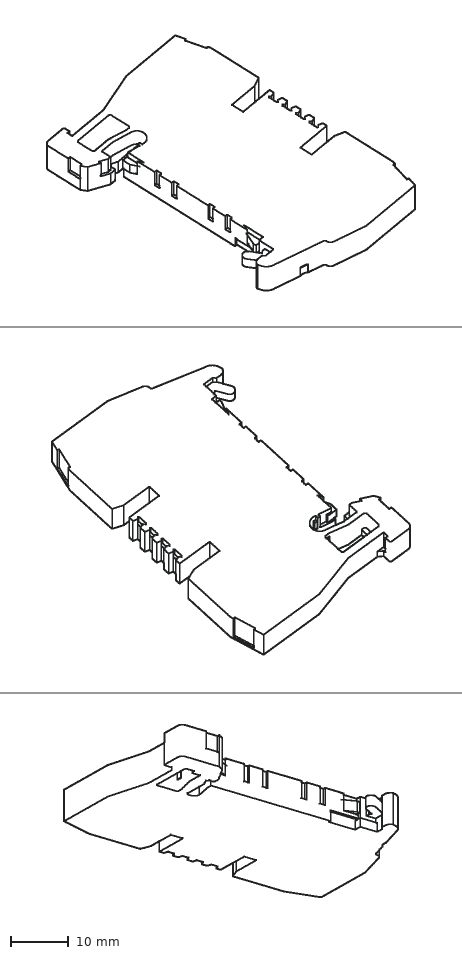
import cadquery as cq
import math

WIDTH = 55.0
HEIGHT = 36.31
THICKNESS = 6.0
CENTER_X = WIDTH / 2
SLOPE = math.tan(math.radians(15))

STEP_Z = 2.72
WEDGE_TOP_Z = 4.76

SHOULDER_X = 6.63
SHOULDER_Y = HEIGHT - SHOULDER_X * SLOPE
FLANK_Y = 21.6
FLANK_BLEND_R = 2.0
SLOT_LEAD_X = 17.6
SLOT_LEAD_Y = 34.3
SLOT_OUTER_X = 18.36
SLOT_INNER_X = 20.94
SLOT_BOTTOM_Y = 28.35

RACK_Y = 35.32
GROOVE_COUNT = 4
GROOVE_PITCH = 3.09
GROOVE_FLOOR_Y = 34.45
GROOVE_MOUTH_HALF = 0.95
GROOVE_FLOOR_HALF = 0.68
UNDERCUT_DEPTH = 0.52
UNDERCUT_HALF = 1.05
UNDERCUT_MID_Y = GROOVE_FLOOR_Y - 0.33
UNDERCUT_FLOOR_HALF = 0.92
UNDERCUT_Z = 4.5

LABEL_START_X = 1.95
LABEL_END_X = 6.02
LABEL_DEPTH = 0.36
LABEL_FLOOR_Z = 0.5

BASE_Y = 7.35
NOTCH_TOP_Y = 7.86
NOTCH_WIDTH = 1.1
NOTCH_OFFSETS = (-8.1, -4.15, 4.15, 8.1)

ARM_X = 2.37
ARM_TOP_Y = FLANK_Y - ARM_X / SLOPE
FOOT_TOP_Y = 5.1
FOOT_CORNER_R = 0.95
FOOT_TOP_R = 0.3
FOOT_RIGHT_X = 11.26
FOOT_RIGHT_Y = 4.46
FOOT_TOE_X = 9.3
FOOT_TOE_Y = 0.65
FOOT_TOE_END_X = 8.15
FOOT_BUMP_Y = 5.75
FOOT_NOTCH_X = (5.42, FOOT_TOE_END_X)
FOOT_NOTCH_DEPTH = 0.5
WINDOW_X = (3.9, 8.52)
WINDOW_Y = (4.07, 12.75)
WINDOW_LOWER_X = 7.65
WINDOW_BEND_Y = 8.07
WINDOW_SHOULDER_Y = 11.7
WINDOW_R = 0.4
WINDOW_TOP_R = 0.25
WALL_PAD_DEPTH = 0.13
WALL_PAD_Z = (2.2, 5.0)
CORNER_GROOVE_X = 1.3
CORNER_GROOVE_Y = 4.55
GUSSET_Z = 1.6
GUSSET_X = 1.75
GUSSET_TOP_Y = 6.0
WINDOW_PAD_X = 5.74
WINDOW_PAD_Y = 4.96

SLOT_X = 10.37
SLOT_ARC_Y = 12.55
SLOT_ARC_PEAK = (11.3, 12.8)
SLOT_ARC_END = (12.42, 11.7)
SLOT_WALL_X = 11.72
SLOT_WALL_Y = 8.2
HOOK_TIP_Y = 7.5
HOOK_THROAT = (9.84, 6.3)
HOOK_BUMP_X = 10.2
UPPER_SLOT_X = 8.68
UPPER_BEND_Y = 8.07
UPPER_ARC_START = (9.55, 12.1)
UPPER_ARC_PEAK = (11.2, 13.24)
UPPER_ARC_END = (12.92, 11.5)
UPPER_CORNER_X = 12.25
RIM_WIDTH = 0.55
RIM_END_Y = 2.9
RIB_Y = (10.48, 10.98)
LOW_PAD_X = 12.07
LOW_PAD_Y = 8.9
HIGH_PAD_Y = 11.5

LEFT_WEDGE_X = (LOW_PAD_X, 13.65, 15.9)
LEFT_WEDGE_Y = 6.8
RIGHT_WEDGE_X = (42.9, 42.3, 38.9)
RIGHT_WEDGE_Y = 6.43

EAR_BOTTOM_Y = 14.3
EAR_X = WIDTH - (FLANK_Y - EAR_BOTTOM_Y) * SLOPE
EAR_R = 1.0
EAR_ROOT_R = 0.46
LEG_TOP_X = 51.9
LEG_LOW = (49.15, 4.3)
LEG_TIP = (46.95, 2.19)
LEG_TIP_RIGHT = (47.6, 2.4)
LEG_TIP_LEFT = (46.05, 3.3)
LEG_LIP_Y = 4.3
LEG_INNER_X = 46.55
LEG_SCALLOP = ((50.5, 9.3), (50.55, 10.2), (50.95, 10.95))
LEG_SCALLOP_Z = 2.04
LEG_ROOT_Y = 6.83
BLOCK_X = 42.9
BLOCK_BOTTOM_Y = 6.33
BLOCK_TOP_Z = 1.7
BLOCK_STEP_X = 43.27
LATCH_HALF = 0.93
LATCH_TIP = (43.3, 3.7)
LATCH_ROOT = (46.2, 5.4)
LATCH_THROAT_X = 44.6
LATCH_THROAT_Y = 6.1
RELIEF_X = 37.3
RELIEF_TOP_Z = 2.04


def prism(points, bottom_z, top_z):
    """Straight-sided block with the given outline between two Z levels."""
    return cq.Workplane("XY", origin=(0, 0, bottom_z)).polyline(points).close().extrude(top_z - bottom_z)


def box(x_range, y_range, z_range):
    """Axis-aligned block from its coordinate ranges."""
    (x0, x1), (y0, y1), (z0, z1) = x_range, y_range, z_range
    return cq.Workplane("XY").box(x1 - x0, y1 - y0, z1 - z0, centered=False).translate((x0, y0, z0))


def mirrored(shape):
    """Copy of a shape on the other side of the housing centre line."""
    return shape.mirror("YZ", (CENTER_X, 0, 0))


def blend(shape, x, y, radius):
    """Round the full-height vertical edge at (x, y)."""
    tolerance = 0.02
    corner = cq.selectors.BoxSelector(
        (x - tolerance, y - tolerance, 0), (x + tolerance, y + tolerance, THICKNESS)
    )
    return shape.edges("|Z").edges(corner).fillet(radius)


def make_plate():
    """Full-thickness outline, including the narrow lower form of the hinge slot."""
    plate = (
        cq.Workplane("XY")
        .moveTo(0, 0)
        .lineTo(FOOT_TOE_END_X, 0)
        .lineTo(FOOT_TOE_X, FOOT_TOE_Y)
        .lineTo(FOOT_RIGHT_X, FOOT_RIGHT_Y)
        .lineTo(FOOT_RIGHT_X, FOOT_BUMP_Y)
        .lineTo(HOOK_BUMP_X, FOOT_BUMP_Y)
        .lineTo(*HOOK_THROAT)
        .lineTo(SLOT_X, HOOK_TIP_Y)
        .lineTo(SLOT_X, SLOT_ARC_Y)
        .threePointArc(SLOT_ARC_PEAK, SLOT_ARC_END)
        .lineTo(SLOT_WALL_X, SLOT_WALL_Y)
        .lineTo(SLOT_WALL_X, BASE_Y)
        .lineTo(BLOCK_STEP_X, BASE_Y)
        .lineTo(BLOCK_STEP_X, LEG_ROOT_Y)
        .lineTo(LEG_INNER_X, LEG_ROOT_Y)
        .lineTo(LEG_INNER_X, LEG_LIP_Y + (LEG_INNER_X - LEG_TIP_LEFT[0]))
        .lineTo(LEG_TIP_LEFT[0], LEG_LIP_Y)
        .lineTo(*LEG_TIP_LEFT)
        .tangentArcPoint(LEG_TIP, relative=False)
        .lineTo(*LEG_TIP_RIGHT)
        .tangentArcPoint(LEG_LOW, relative=False)
        .lineTo(LEG_TOP_X, EAR_BOTTOM_Y)
        .lineTo(EAR_X, EAR_BOTTOM_Y)
        .lineTo(WIDTH, FLANK_Y)
        .lineTo(WIDTH, SHOULDER_Y)
        .lineTo(WIDTH - SHOULDER_X, HEIGHT)
        .lineTo(SHOULDER_X, HEIGHT)
        .lineTo(0, SHOULDER_Y)
        .lineTo(0, FLANK_Y)
        .lineTo(ARM_X, ARM_TOP_Y)
        .lineTo(ARM_X, FOOT_TOP_Y)
        .lineTo(0, FOOT_TOP_Y)
        .close()
        .extrude(THICKNESS)
    )
    plate = blend(plate, 0, 0, FOOT_CORNER_R)
    plate = blend(plate, 0, FOOT_TOP_Y, FOOT_TOP_R)
    plate = blend(plate, 0, FLANK_Y, FLANK_BLEND_R)
    plate = blend(plate, WIDTH, FLANK_Y, FLANK_BLEND_R)
    plate = blend(plate, LEG_TOP_X, EAR_BOTTOM_Y, EAR_ROOT_R)
    return blend(plate, EAR_X, EAR_BOTTOM_Y, EAR_R)


def top_slot():
    """Left top slot with a flared outer mouth."""
    return prism(
        [
            (SLOT_OUTER_X, SLOT_BOTTOM_Y),
            (SLOT_INNER_X, SLOT_BOTTOM_Y),
            (SLOT_INNER_X, HEIGHT),
            (SLOT_LEAD_X, HEIGHT),
            (SLOT_OUTER_X, SLOT_LEAD_Y),
        ],
        0,
        THICKNESS,
    )


def rack_cuts():
    """Lowered rack crest with its flared grooves and the undercut pocket at each groove."""
    cuts = box((SLOT_INNER_X, WIDTH - SLOT_INNER_X), (RACK_Y, HEIGHT), (0, THICKNESS))
    for index in range(GROOVE_COUNT):
        x = CENTER_X + (index - (GROOVE_COUNT - 1) / 2) * GROOVE_PITCH
        groove = prism(
            [
                (x - GROOVE_FLOOR_HALF, GROOVE_FLOOR_Y),
                (x + GROOVE_FLOOR_HALF, GROOVE_FLOOR_Y),
                (x + GROOVE_MOUTH_HALF, RACK_Y),
                (x - GROOVE_MOUTH_HALF, RACK_Y),
            ],
            0,
            THICKNESS,
        )
        undercut = prism(
            [
                (x - UNDERCUT_FLOOR_HALF, GROOVE_FLOOR_Y - UNDERCUT_DEPTH),
                (x + UNDERCUT_FLOOR_HALF, GROOVE_FLOOR_Y - UNDERCUT_DEPTH),
                (x + UNDERCUT_HALF, UNDERCUT_MID_Y),
                (x + GROOVE_FLOOR_HALF, GROOVE_FLOOR_Y),
                (x - GROOVE_FLOOR_HALF, GROOVE_FLOOR_Y),
                (x - UNDERCUT_HALF, UNDERCUT_MID_Y),
            ],
            UNDERCUT_Z,
            THICKNESS,
        )
        cuts = cuts.union(groove).union(undercut)
    return cuts


def label_recess():
    """Shallow recess sunk square to the left shoulder slope and open at the top face."""
    start_y = SHOULDER_Y + LABEL_START_X * SLOPE
    end_y = SHOULDER_Y + LABEL_END_X * SLOPE
    shift = LABEL_DEPTH * SLOPE
    return prism(
        [
            (LABEL_START_X, start_y),
            (LABEL_END_X, end_y),
            (LABEL_END_X + shift, end_y - LABEL_DEPTH),
            (LABEL_START_X + shift, start_y - LABEL_DEPTH),
        ],
        LABEL_FLOOR_Z,
        THICKNESS,
    )


def window():
    """Through window beside the left arm, with a thin pad left in its upper right corner."""
    opening = prism(
        [
            (WINDOW_X[0], WINDOW_Y[0]),
            (WINDOW_LOWER_X, WINDOW_Y[0]),
            (WINDOW_LOWER_X, WINDOW_BEND_Y),
            (WINDOW_X[1], WINDOW_SHOULDER_Y),
            (WINDOW_X[1], WINDOW_Y[1]),
            (WINDOW_X[0], WINDOW_Y[1]),
        ],
        0,
        THICKNESS,
    )
    for x, y in ((WINDOW_X[0], WINDOW_Y[0]), (WINDOW_LOWER_X, WINDOW_Y[0])):
        opening = blend(opening, x, y, WINDOW_R)
    for x in WINDOW_X:
        opening = blend(opening, x, WINDOW_Y[1], WINDOW_TOP_R)
    pad_x = (WINDOW_X[1] - WALL_PAD_DEPTH, WINDOW_X[1])
    return opening.cut(box(pad_x, (WINDOW_SHOULDER_Y, WINDOW_Y[1]), WALL_PAD_Z))


def upper_hinge_slot():
    """Wider form of the hinge slot above STEP_Z, less the rib and pads on its right wall."""
    slot = (
        cq.Workplane("XY", origin=(0, 0, STEP_Z))
        .moveTo(UPPER_SLOT_X, FOOT_TOP_Y)
        .lineTo(FOOT_RIGHT_X, FOOT_TOP_Y)
        .lineTo(FOOT_RIGHT_X, BASE_Y)
        .lineTo(UPPER_CORNER_X, BASE_Y)
        .lineTo(UPPER_CORNER_X, NOTCH_TOP_Y)
        .lineTo(*UPPER_ARC_END)
        .threePointArc(UPPER_ARC_PEAK, UPPER_ARC_START)
        .lineTo(UPPER_SLOT_X, UPPER_BEND_Y)
        .close()
        .extrude(THICKNESS - STEP_Z)
    )
    middle_z = (STEP_Z, WEDGE_TOP_Z)
    rib = box((SLOT_WALL_X, UPPER_ARC_END[0]), RIB_Y, (STEP_Z, THICKNESS))
    low_pad = box((LOW_PAD_X, UPPER_ARC_END[0]), (BASE_Y, LOW_PAD_Y), middle_z)
    high_pad = box((SLOT_ARC_END[0], UPPER_ARC_END[0]), (RIB_Y[1], HIGH_PAD_Y), middle_z)
    return slot.cut(rib).cut(low_pad).cut(high_pad)


def foot_rim_recess():
    """Strip removed along the right side of the foot above STEP_Z."""
    lean = (FOOT_RIGHT_X - FOOT_TOE_X) / (FOOT_RIGHT_Y - FOOT_TOE_Y)
    outer_end_x = FOOT_RIGHT_X - (FOOT_RIGHT_Y - RIM_END_Y) * lean
    return prism(
        [
            (FOOT_RIGHT_X - RIM_WIDTH, FOOT_BUMP_Y),
            (FOOT_RIGHT_X, FOOT_BUMP_Y),
            (FOOT_RIGHT_X, FOOT_RIGHT_Y),
            (outer_end_x, RIM_END_Y),
            (outer_end_x - RIM_WIDTH, RIM_END_Y),
            (FOOT_RIGHT_X - RIM_WIDTH, FOOT_RIGHT_Y),
        ],
        STEP_Z,
        THICKNESS,
    )


def foot_details(body):
    """Notch under the foot, groove at the arm corner, and the two low pads."""
    body = body.cut(box(FOOT_NOTCH_X, (0, FOOT_NOTCH_DEPTH), (STEP_Z, THICKNESS)))
    body = body.cut(box((CORNER_GROOVE_X, ARM_X), (CORNER_GROOVE_Y, FOOT_TOP_Y), (GUSSET_Z, THICKNESS)))
    gusset = prism([(GUSSET_X, FOOT_TOP_Y), (ARM_X, FOOT_TOP_Y), (ARM_X, GUSSET_TOP_Y)], 0, GUSSET_Z)
    pad = box((WINDOW_PAD_X, WINDOW_LOWER_X), (WINDOW_Y[0], WINDOW_PAD_Y), (0, GUSSET_Z))
    pad = pad.edges("|Z and <X and >Y").fillet(WINDOW_R)
    return body.union(gusset).union(pad)


def base_notches():
    """Narrow notches along the bottom edge, open at the top face."""
    notches = cq.Workplane("XY")
    for offset in NOTCH_OFFSETS:
        x = CENTER_X + offset
        x_range = (x - NOTCH_WIDTH / 2, x + NOTCH_WIDTH / 2)
        notches = notches.add(box(x_range, (BASE_Y, NOTCH_TOP_Y), (STEP_Z, THICKNESS)))
    return notches.combine()


def wedge_outline(end_x, knee_x, tip_x, low_y):
    """Outline of a wedge that runs from its low end up to a tip inside the housing."""
    return [(end_x, NOTCH_TOP_Y), (end_x, low_y), (knee_x, low_y), (tip_x, NOTCH_TOP_Y)]


def add_wedge(body, x_values, low_y, clear_x):
    """Leave a wedge in the middle layer and clear the housing edge above it and beside it."""
    outline = wedge_outline(*x_values, low_y)
    clearance = wedge_outline(clear_x, *x_values[1:], low_y)
    body = body.cut(prism(clearance, STEP_Z, THICKNESS))
    return body.union(prism(outline, STEP_Z, WEDGE_TOP_Z))


def base_relief():
    """Shallow step in the lower layer beside the foot block."""
    return box((RELIEF_X, BLOCK_STEP_X), (BASE_Y, NOTCH_TOP_Y), (0, RELIEF_TOP_Z))


def foot_block():
    """Low block under the right end of the housing."""
    return box((BLOCK_X, LEG_INNER_X), (BLOCK_BOTTOM_Y, NOTCH_TOP_Y), (0, BLOCK_TOP_Z))


def leg_scallop():
    """Shallow curved relief in the outer flank of the right leg, open at the bottom face."""
    start, middle, end = LEG_SCALLOP
    outline = cq.Workplane("XY").moveTo(*start).threePointArc(middle, end)
    return outline.lineTo(end[0], start[1]).close().extrude(LEG_SCALLOP_Z)


def latch():
    """Slanted round-ended finger of the middle layer that joins the right leg."""
    run = LATCH_ROOT[0] - LATCH_TIP[0]
    rise = LATCH_ROOT[1] - LATCH_TIP[1]
    length = math.hypot(run, rise)
    angle = math.degrees(math.atan2(rise, run))
    finger = box((0, length), (-LATCH_HALF, LATCH_HALF), (STEP_Z, WEDGE_TOP_Z))
    tip = cq.Workplane("XY", origin=(0, 0, STEP_Z)).circle(LATCH_HALF).extrude(WEDGE_TOP_Z - STEP_Z)
    finger = finger.union(tip).rotate((0, 0, 0), (0, 0, 1), angle)
    root = prism(
        [
            (LATCH_THROAT_X, LEG_ROOT_Y),
            (LATCH_THROAT_X, LATCH_THROAT_Y),
            (LEG_TIP_LEFT[0], LEG_LIP_Y),
            (LEG_INNER_X, LEG_LIP_Y),
            (LEG_INNER_X, LEG_ROOT_Y),
        ],
        STEP_Z,
        WEDGE_TOP_Z,
    )
    return finger.translate((*LATCH_TIP, 0)).union(root)


body = make_plate()
body = body.cut(top_slot()).cut(mirrored(top_slot()))
body = body.cut(rack_cuts())
body = body.cut(label_recess()).cut(mirrored(label_recess()))
body = body.cut(window())
body = body.cut(upper_hinge_slot()).cut(foot_rim_recess())
body = foot_details(body)
body = body.cut(base_notches())
body = add_wedge(body, LEFT_WEDGE_X, LEFT_WEDGE_Y, LEFT_WEDGE_X[0])
body = add_wedge(body, RIGHT_WEDGE_X, RIGHT_WEDGE_Y, BLOCK_STEP_X)
body = body.cut(base_relief())
body = body.union(foot_block()).union(latch())
result = body.cut(leg_scallop())